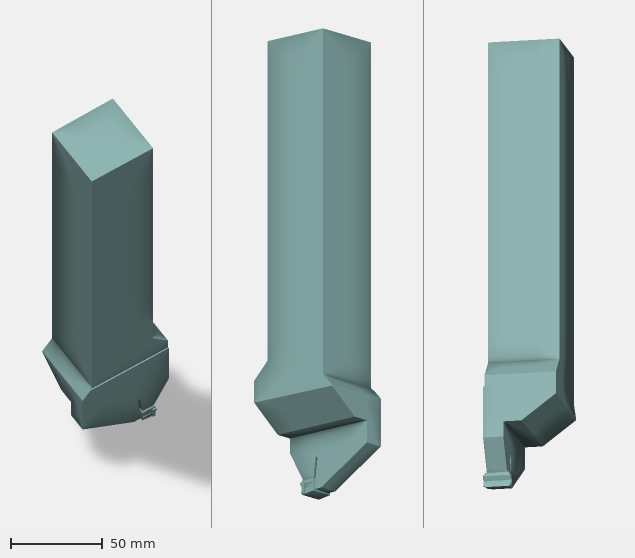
import cadquery as cq

TOTAL_LENGTH = 250.0
SHANK_SIDE = 40.0
HALF_SIDE = SHANK_SIDE / 2
SIDE_RELIEF = 0.8
SHANK_STEP = 0.8
SHANK_STEP_Z = 54.0

BACK_OVERHANG = 9.8
FRONT_OVERHANG = 6.5
BACK_SHOULDER_Z = 70.0
FRONT_SHOULDER_Z = 55.2
FRONT_FLARE_HEIGHT = 7.0
BACK_CORNER_Z = 25.2
FRONT_CORNER_Z = 21.2
BLADE_BOTTOM_Z = 2.0
BLADE_TOE_Y = 7.0
SIDE_SLOPE_TOP_Z = 48.0
SHELF_Z = 33.8
SHELF_START_X = -0.8
BLADE_THICKNESS = 11.2
HEAD_SIDE_X = 20.5
BLADE_CENTER_X = HEAD_SIDE_X - BLADE_THICKNESS / 2

INSERT_HEEL_Y = 20.0
STEM_WIDTH = 7.2
STEM_LEAN = 2.0
STEM_TOP_Z = 24.8
STEM_CORNER_DROP = 3.0
STEM_CORNER_RUN = 2.5
HEAD_TOP_Z = 8.0
HEAD_FRONT_Y = 11.8
HEAD_WIDTH = 13.5
EDGE_WIDTH = 15.2
EDGE_DEPTH = 2.8
EDGE_BOTTOM_Z = 0.5
EDGE_TOP_Z = 6.8
RELIEF_RISE = 1.0
RAKE_NOSE = 0.8
RAKE_NOSE_Z = 6.0
RAKE_HOLLOW = 0.5
RAKE_HOLLOW_Z = 3.5
GROOVE_DEPTH = 0.5
GROOVE_LENGTH = 5.5
GROOVE_START_Y = 12.2
SEAT_GAP = 1.5
SEAT_GAP_TOP_Z = 20.8
SEAT_GAP_DEPTH = 2.5


def side_prism(points, width, center_x):
    """Extrude a Y-Z outline symmetrically about X = center_x."""
    return cq.Workplane("YZ", origin=(center_x, 0, 0)).polyline(points).close().extrude(width / 2, both=True)


def make_stem():
    heel_top = INSERT_HEEL_Y - STEM_LEAN
    outline = [
        (INSERT_HEEL_Y, HEAD_TOP_Z),
        (heel_top, STEM_TOP_Z - STEM_CORNER_DROP),
        (heel_top - STEM_CORNER_RUN, STEM_TOP_Z),
        (heel_top - STEM_WIDTH, STEM_TOP_Z),
        (INSERT_HEEL_Y - STEM_WIDTH, HEAD_TOP_Z),
    ]
    return side_prism(outline, BLADE_THICKNESS, BLADE_CENTER_X)


def make_cutting_head():
    outline = [
        (INSERT_HEEL_Y, HEAD_TOP_Z),
        (INSERT_HEEL_Y + RAKE_NOSE, RAKE_NOSE_Z),
        (INSERT_HEEL_Y - RAKE_HOLLOW, RAKE_HOLLOW_Z),
        (INSERT_HEEL_Y, 0),
        (HEAD_FRONT_Y, RELIEF_RISE),
        (HEAD_FRONT_Y, HEAD_TOP_Z),
    ]
    core = side_prism(outline, HEAD_WIDTH, BLADE_CENTER_X)
    edge_front = INSERT_HEEL_Y + RAKE_NOSE - EDGE_DEPTH
    edge_height = EDGE_TOP_Z - EDGE_BOTTOM_Z
    edge_zone = cq.Workplane("XY").box(EDGE_WIDTH, EDGE_DEPTH, edge_height, centered=(True, False, False))
    edge_zone = edge_zone.translate((BLADE_CENTER_X, edge_front, EDGE_BOTTOM_Z))
    edges = side_prism(outline, EDGE_WIDTH, BLADE_CENTER_X).intersect(edge_zone)
    head = core.union(edges)
    for side in (-1, 1):
        groove_x = BLADE_CENTER_X + side * (HEAD_WIDTH - GROOVE_DEPTH) / 2
        groove = side_prism([
            (GROOVE_START_Y, RAKE_HOLLOW_Z),
            (GROOVE_START_Y + GROOVE_LENGTH, RAKE_HOLLOW_Z),
            (GROOVE_START_Y + GROOVE_LENGTH, RAKE_NOSE_Z),
            (GROOVE_START_Y, RAKE_NOSE_Z),
        ], GROOVE_DEPTH, groove_x)
        head = head.cut(groove)
    return head


def make_insert():
    return make_stem().union(make_cutting_head())


def make_seat():
    """Through opening for the stem and cutting head, with a shallow recess in each side of the blade."""
    front_bottom = INSERT_HEEL_Y - STEM_WIDTH
    lean_per_height = STEM_LEAN / (STEM_TOP_Z - HEAD_TOP_Z)
    front_at_gap_top = front_bottom - lean_per_height * (SEAT_GAP_TOP_Z - HEAD_TOP_Z)
    recess_outline = [
        (front_bottom, HEAD_TOP_Z),
        (front_at_gap_top, SEAT_GAP_TOP_Z),
        (front_at_gap_top - SEAT_GAP, SEAT_GAP_TOP_Z - SEAT_GAP),
        (front_bottom - SEAT_GAP, HEAD_TOP_Z),
    ]
    head_back = HALF_SIDE + BACK_OVERHANG
    head_space = side_prism([
        (HEAD_FRONT_Y, 0),
        (head_back, 0),
        (head_back, HEAD_TOP_Z),
        (HEAD_FRONT_Y, HEAD_TOP_Z),
    ], BLADE_THICKNESS, BLADE_CENTER_X)
    seat = make_stem().union(head_space)
    for side in (-1, 1):
        recess_x = BLADE_CENTER_X + side * (BLADE_THICKNESS - SEAT_GAP_DEPTH) / 2
        seat = seat.union(side_prism(recess_outline, SEAT_GAP_DEPTH, recess_x))
    return seat


def make_holder():
    head_back = HALF_SIDE + BACK_OVERHANG
    head_front = -HALF_SIDE - FRONT_OVERHANG
    body = side_prism([
        (HALF_SIDE, TOTAL_LENGTH),
        (HALF_SIDE, BACK_SHOULDER_Z),
        (head_back, BACK_SHOULDER_Z - BACK_OVERHANG),
        (head_back, BACK_CORNER_Z),
        (INSERT_HEEL_Y, HEAD_TOP_Z),
        (HEAD_FRONT_Y, BLADE_BOTTOM_Z),
        (BLADE_TOE_Y, BLADE_BOTTOM_Z),
        (head_front, FRONT_CORNER_Z),
        (head_front, FRONT_SHOULDER_Z - FRONT_FLARE_HEIGHT),
        (-HALF_SIDE, FRONT_SHOULDER_Z),
        (-HALF_SIDE, TOTAL_LENGTH),
    ], 2 * HEAD_SIDE_X, 0)

    plan = cq.Workplane("XY").polyline([
        (-HALF_SIDE, head_back),
        (HEAD_SIDE_X, head_back),
        (HEAD_SIDE_X, head_front),
        (SIDE_RELIEF - HALF_SIDE, head_front),
    ]).close().extrude(TOTAL_LENGTH)
    body = body.intersect(plan)

    shank_step = cq.Workplane("XY").box(
        SHANK_STEP, head_back - head_front, TOTAL_LENGTH - SHANK_STEP_Z, centered=False
    ).translate((HEAD_SIDE_X - SHANK_STEP, head_front, SHANK_STEP_Z))
    body = body.cut(shank_step)

    blade_side = HEAD_SIDE_X - BLADE_THICKNESS
    flank = cq.Workplane("XZ", origin=(0, head_back, 0)).polyline([
        (-HALF_SIDE, SIDE_SLOPE_TOP_Z),
        (SHELF_START_X, SHELF_Z),
        (blade_side, SHELF_Z),
        (blade_side, 0),
        (-HALF_SIDE, 0),
    ]).close().extrude(head_back - head_front)
    return body.cut(flank).cut(make_seat())


holder = make_holder()
insert = make_insert()

result = cq.Compound.makeCompound([holder.val(), insert.val()])